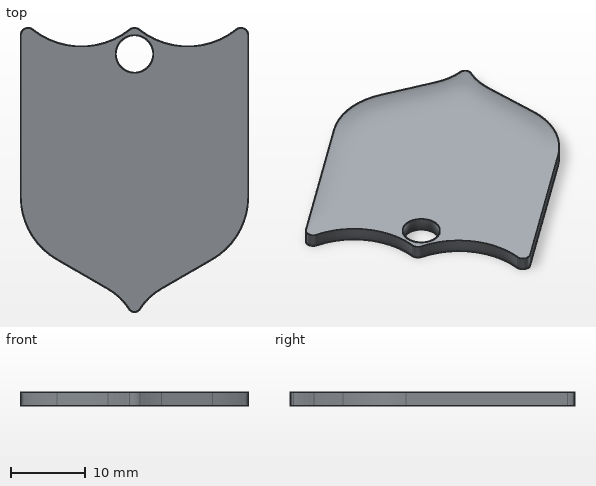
import cadquery as cq
import math

width = 30.48
length = 38.05
thickness = 1.85

crest_radius = 1.0
scallop_radius = 10.45

shoulder_y = -3.58
shoulder_radius = 9.7
shoulder_angle = math.radians(60)
flare_radius = 8.37
tip_radius = 0.85

hole_diameter = 5.0
hole_y = 15.52

half_width = width / 2
half_length = length / 2


def toward(start, end, distance):
    """Point at the given distance from start on the line to end."""
    share = distance / math.dist(start, end)
    return (start[0] + share * (end[0] - start[0]), start[1] + share * (end[1] - start[1]))


def on_arc(centre, start, end):
    """Middle point of the minor arc from start to end about centre."""
    chord_middle = ((start[0] + end[0]) / 2, (start[1] + end[1]) / 2)
    return toward(centre, chord_middle, math.dist(centre, start))


def locate_flare(slope_start, tip_centre):
    """Centre of the concave flare tangent to slope and tip rounding, and the lower end of the slope."""
    normal = (math.cos(shoulder_angle), -math.sin(shoulder_angle))
    along = (-math.sin(shoulder_angle), -math.cos(shoulder_angle))
    offset = (tip_centre[0] - slope_start[0], tip_centre[1] - slope_start[1])
    tip_height = offset[0] * normal[0] + offset[1] * normal[1]
    tip_run = offset[0] * along[0] + offset[1] * along[1]
    run = tip_run - math.sqrt((flare_radius + tip_radius) ** 2 - (flare_radius - tip_height) ** 2)
    slope_end = (slope_start[0] + run * along[0], slope_start[1] + run * along[1])
    centre = (slope_end[0] + flare_radius * normal[0], slope_end[1] + flare_radius * normal[1])
    return centre, slope_end


def half_outline():
    """Right half of the shield outline, from the middle peak down to the tip."""
    crest_y = half_length - crest_radius
    peak_centre = (0, crest_y)
    corner_centre = (half_width - crest_radius, crest_y)
    scallop_x = corner_centre[0] / 2
    scallop_rise = math.sqrt((scallop_radius + crest_radius) ** 2 - scallop_x ** 2)
    scallop_centre = (scallop_x, crest_y + scallop_rise)
    peak_top = (0, half_length)
    peak_end = toward(peak_centre, scallop_centre, crest_radius)
    corner_start = toward(corner_centre, scallop_centre, crest_radius)
    corner_top = (corner_centre[0], half_length)
    corner_end = (half_width, crest_y)

    shoulder_start = (half_width, shoulder_y)
    shoulder_centre = (half_width - shoulder_radius, shoulder_y)
    slope_start = (
        shoulder_centre[0] + shoulder_radius * math.cos(shoulder_angle),
        shoulder_centre[1] - shoulder_radius * math.sin(shoulder_angle),
    )
    tip_centre = (0, tip_radius - half_length)
    flare_centre, slope_end = locate_flare(slope_start, tip_centre)
    tip_start = toward(tip_centre, flare_centre, tip_radius)
    tip_end = (0, -half_length)

    return (
        cq.Workplane("XY")
        .moveTo(*peak_top)
        .threePointArc(on_arc(peak_centre, peak_top, peak_end), peak_end)
        .threePointArc(on_arc(scallop_centre, peak_end, corner_start), corner_start)
        .threePointArc(corner_top, corner_end)
        .lineTo(*shoulder_start)
        .threePointArc(on_arc(shoulder_centre, shoulder_start, slope_start), slope_start)
        .lineTo(*slope_end)
        .threePointArc(on_arc(flare_centre, slope_end, tip_start), tip_start)
        .threePointArc(on_arc(tip_centre, tip_start, tip_end), tip_end)
    )


plate = half_outline().mirrorY().extrude(thickness / 2, both=True)
ring_hole = (
    cq.Workplane("XY")
    .center(0, hole_y)
    .circle(hole_diameter / 2)
    .extrude(thickness, both=True)
)
result = plate.cut(ring_hole)